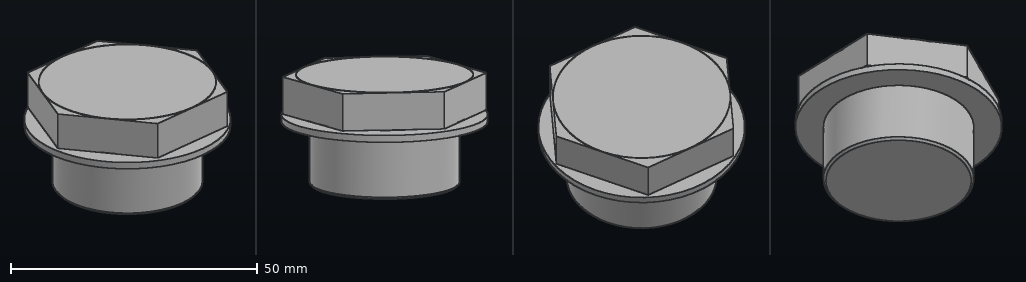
import cadquery as cq
import math

overall_height = 22.8
washer_bottom = 13.07
washer_thickness = 1.42
bearing_bottom = 14.75
hex_bottom = 15.0
top_pad_height = 0.1

washer_diameter = 41.9
hex_across_flats = 36.0
bearing_diameter = 34.53
shank_diameter = 30.5
shank_chamfer = 0.5

hex_across_corners = hex_across_flats / math.cos(math.pi / 6)
hex_top = overall_height - top_pad_height


def disc(diameter, bottom, top):
    """Cylinder on the Z axis between two heights."""
    return cq.Workplane("XY").workplane(offset=bottom).circle(diameter / 2).extrude(top - bottom)


def make_plug():
    """Hexagon-headed plug with a bearing face below the head and a round pad on top."""
    head = (
        cq.Workplane("XY")
        .workplane(offset=hex_bottom)
        .polygon(6, hex_across_corners)
        .extrude(hex_top - hex_bottom)
        .rotate((0, 0, 0), (0, 0, 1), 90)
    )
    top_pad = disc(hex_across_flats, hex_top, overall_height)
    bearing_face = disc(bearing_diameter, bearing_bottom, hex_bottom)
    shank = disc(shank_diameter, 0, bearing_bottom).faces("<Z").chamfer(shank_chamfer)
    return shank.union(bearing_face).union(head).union(top_pad)


def make_washer():
    """Flat sealing washer fitting closely around the shank."""
    washer_top = washer_bottom + washer_thickness
    blank = disc(washer_diameter, washer_bottom, washer_top)
    return blank.cut(disc(shank_diameter, washer_bottom, washer_top))


plug = make_plug()
washer = make_washer()

result = cq.Compound.makeCompound([plug.val(), washer.val()])